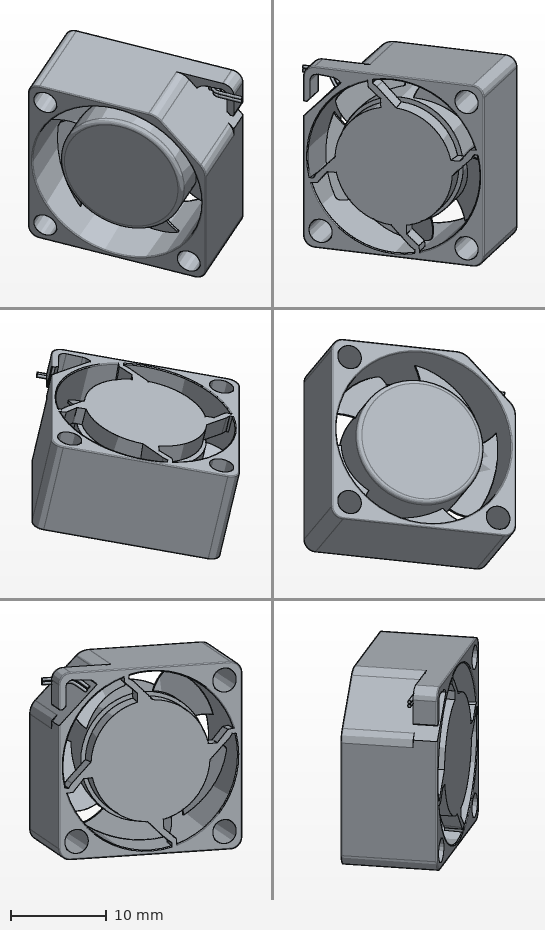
import cadquery as cq
import math


SIZE = 20.0
HALF = SIZE / 2
DEPTH = 10.3
CORNER_RADIUS = 1.25
BORE_RADIUS = 9.53
EDGE_FILLET = 0.11
HOLE_DIAMETER = 2.56
HOLE_OFFSET = 8.08

CUT_LENGTH = 5.63
CUT_FILLET = 2.0
CUT_SUM = SIZE - CUT_LENGTH
FLANGE_THICKNESS = 2.58
FLANGE_FRONT = DEPTH - FLANGE_THICKNESS

LEG_INNER_X = 9.25
LEG_BOTTOM_Z = 6.05
LEG_INNER_BEVEL = 0.35
LEG_OUTER_BEVEL = 0.1
HOOK_TOP_RIGHT = (8.45, 9.18)
HOOK_TOP_LEFT = (6.7, 9.05)
HOOK_ROOT_X = 5.85
HOOK_ROOT_ARC_POINT = (6.2, 8.85)
HOOK_CORNER_RADIUS = LEG_INNER_X - HOOK_TOP_RIGHT[0]

BASE_RADIUS = 6.5
STRUT_FRONT = 8.3
STRUT_COUNT = 4
STRUT_OUTLINE = [
    (-9.6, 2.95),
    (-8.45, 2.8),
    (-7.3, 1.45),
    (-6.0, 1.4),
    (-6.0, -0.8),
    (-8.6, 1.85),
    (-8.95, 2.35),
    (-9.65, 2.3),
]
STRUT_DRAFT = 3.0

HUB_RADIUS = 6.9
HUB_FRONT = 1.15
HUB_BACK = 8.0
HUB_FILLET = 0.5
BLADE_COUNT = 5
BLADE_TIP_RADIUS = 9.36
BLADE_MID_RADIUS = 8.1
BLADE_ROOT_OVERLAP = 0.4
BLADE_ROOT_RADIUS = HUB_RADIUS - BLADE_ROOT_OVERLAP
BLADE_FRONT = 3.6
BLADE_BACK = 7.5
BLADE_CORNER_RADIUS = 0.6
BLADE_ARC_WIDTH = 5.0
LEADING_ANGLES = (9.5, 13.0, 17.2)
TRAILING_ANGLES = (-44.5, -41.6, -36.7)

WIRE_COUNT = 2
WIRE_DIAMETER = 0.35
WIRE_RADIUS = WIRE_DIAMETER / 2
WIRE_PITCH = 0.41
WIRE_SLANT_SHIFT = 0.22
WIRE_END_X = 11.0
UPPER_WIRE_Z = 8.81
WIRE_Y = FLANGE_FRONT - WIRE_RADIUS
WIRE_STRAIGHT_X = 8.4
WIRE_BEND = (7.35, 8.3, -0.08)
WIRE_START = (6.4, 9.3, -0.78)


def polar(radius, angle):
    """Point in the XZ plane at an angle in degrees from +X towards +Z."""
    return radius * math.cos(math.radians(angle)), radius * math.sin(math.radians(angle))


def prism(sketch, front, back, draft=0):
    """Extrude a closed XZ sketch from y = back to y = front, narrowing by the draft angle."""
    return sketch.extrude(back - front, taper=draft).translate((0, back, 0))


def plane():
    """XZ workplane with its normal towards -Y."""
    return cq.Workplane("XZ")


def square_block(front, back):
    """Square block with rounded corners."""
    return prism(plane().rect(SIZE, SIZE), front, back).edges("|Y").fillet(CORNER_RADIUS)


def cut_corner_block():
    """Square block with the +X +Z corner cut off at 45 degrees."""
    triangle = plane().polyline([
        (HALF - CUT_LENGTH, HALF), (HALF, HALF), (HALF, HALF - CUT_LENGTH),
    ]).close()
    block = square_block(0, DEPTH).cut(prism(triangle, 0, DEPTH))
    return block.edges("|Y").edges(">(1, 0, 1)").fillet(CUT_FILLET)


def hook_opening():
    """Space between the cut face and the hook, open below the leg."""
    root = (HOOK_ROOT_X, CUT_SUM - HOOK_ROOT_X)
    corner_turn = HOOK_CORNER_RADIUS * math.sqrt(0.5)
    corner_z = HOOK_TOP_RIGHT[1] - HOOK_CORNER_RADIUS
    outline = (
        plane().moveTo(*root)
        .threePointArc(HOOK_ROOT_ARC_POINT, HOOK_TOP_LEFT)
        .lineTo(*HOOK_TOP_RIGHT)
        .threePointArc((HOOK_TOP_RIGHT[0] + corner_turn, corner_z + corner_turn), (LEG_INNER_X, corner_z))
        .lineTo(LEG_INNER_X, LEG_BOTTOM_Z + LEG_INNER_BEVEL)
        .lineTo(LEG_INNER_X + LEG_INNER_BEVEL, LEG_BOTTOM_Z)
        .lineTo(HALF - LEG_OUTER_BEVEL, LEG_BOTTOM_Z)
        .lineTo(HALF, LEG_BOTTOM_Z + LEG_OUTER_BEVEL)
        .lineTo(SIZE, LEG_BOTTOM_Z + LEG_OUTER_BEVEL)
        .lineTo(SIZE, CUT_SUM - SIZE)
        .close()
    )
    return prism(outline, FLANGE_FRONT, DEPTH).cut(cut_corner_block())


def strut():
    """Slanted strut between the bore wall and the motor base, on the -X side."""
    outline = plane().polyline(STRUT_OUTLINE).close()
    return prism(outline, STRUT_FRONT, DEPTH, STRUT_DRAFT)


def build_housing():
    """Frame with bore, flange, hook, screw holes, motor base and struts."""
    frame = cut_corner_block().union(square_block(FLANGE_FRONT, DEPTH))
    frame = frame.cut(prism(plane().circle(BORE_RADIUS), 0, DEPTH))
    frame = frame.faces("<Y or >Y").edges().fillet(EDGE_FILLET)
    frame = frame.cut(hook_opening())

    hole_places = [(-HOLE_OFFSET, HOLE_OFFSET), (-HOLE_OFFSET, -HOLE_OFFSET), (HOLE_OFFSET, -HOLE_OFFSET)]
    frame = frame.cut(prism(plane().pushPoints(hole_places).circle(HOLE_DIAMETER / 2), 0, DEPTH))

    frame = frame.union(prism(plane().circle(BASE_RADIUS), STRUT_FRONT, DEPTH))
    for index in range(STRUT_COUNT):
        frame = frame.union(strut().rotate((0, 0, 0), (0, 1, 0), index * 360 / STRUT_COUNT))
    return frame


def build_blade():
    """Helical slab trimmed to the blade's outline."""
    radii = (BLADE_ROOT_RADIUS, BLADE_MID_RADIUS, BLADE_TIP_RADIUS)
    lead_root, lead_mid, lead_tip = [polar(r, a) for r, a in zip(radii, LEADING_ANGLES)]
    trail_root, trail_mid, trail_tip = [polar(r, a) for r, a in zip(radii, TRAILING_ANGLES)]
    tip_mid = polar(BLADE_TIP_RADIUS, (LEADING_ANGLES[2] + TRAILING_ANGLES[2]) / 2)
    root_mid = polar(BLADE_ROOT_RADIUS, (LEADING_ANGLES[0] + TRAILING_ANGLES[0]) / 2)
    outline = (
        plane().moveTo(*trail_root)
        .threePointArc(trail_mid, trail_tip)
        .threePointArc(tip_mid, lead_tip)
        .threePointArc(lead_mid, lead_root)
        .threePointArc(root_mid, trail_root)
        .close()
    )
    outline_prism = prism(outline, BLADE_FRONT, BLADE_BACK)
    trailing_corner = cq.NearestToPointSelector((trail_tip[0], (BLADE_FRONT + BLADE_BACK) / 2, trail_tip[1]))
    outline_prism = outline_prism.edges("|Y").edges(trailing_corner).fillet(BLADE_CORNER_RADIUS)

    start = TRAILING_ANGLES[0] - BLADE_ARC_WIDTH
    twist = LEADING_ANGLES[2] - start
    inner = BLADE_ROOT_RADIUS / 2
    outer = SIZE
    slab = (
        plane()
        .polyline([
            polar(inner, start), polar(outer, start),
            polar(outer, start + BLADE_ARC_WIDTH), polar(inner, start + BLADE_ARC_WIDTH),
        ])
        .close()
        .twistExtrude(BLADE_BACK - BLADE_FRONT, twist)
        .translate((0, BLADE_BACK, 0))
    )
    return slab.intersect(outline_prism)


def build_rotor():
    """Hub with its ring of blades."""
    rotor = prism(plane().circle(HUB_RADIUS), HUB_FRONT, HUB_BACK)
    rotor = rotor.faces("<Y").edges().fillet(HUB_FILLET)
    blade = build_blade()
    for index in range(BLADE_COUNT):
        rotor = rotor.union(blade.rotate((0, 0, 0), (0, 1, 0), index * 360 / BLADE_COUNT))
    return rotor


def build_wire(index):
    """Wire from the cut face, curving up and forward into a straight run along X."""
    height = UPPER_WIRE_Z - index * WIRE_PITCH
    shift = index * WIRE_SLANT_SHIFT
    start, bend = [cq.Vector(x + shift, y, height + rise) for x, y, rise in (WIRE_START, WIRE_BEND)]
    straight_start = cq.Vector(WIRE_STRAIGHT_X, WIRE_Y, height)
    straight_end = cq.Vector(WIRE_END_X, WIRE_Y, height)
    curve = cq.Edge.makeSpline(
        [straight_start, bend, start],
        tangents=[straight_start - straight_end, start - bend],
    )
    straight = cq.Edge.makeLine(straight_end, straight_start)
    path = cq.Workplane(cq.Wire.assembleEdges([straight, curve]))
    section = cq.Workplane("YZ", origin=straight_end.toTuple()).circle(WIRE_RADIUS)
    return section.sweep(path).cut(cut_corner_block())


housing = build_housing()
rotor = build_rotor()
wires = [build_wire(index) for index in range(WIRE_COUNT)]

result = cq.Compound.makeCompound([body.solids().val() for body in (housing, rotor, *wires)])